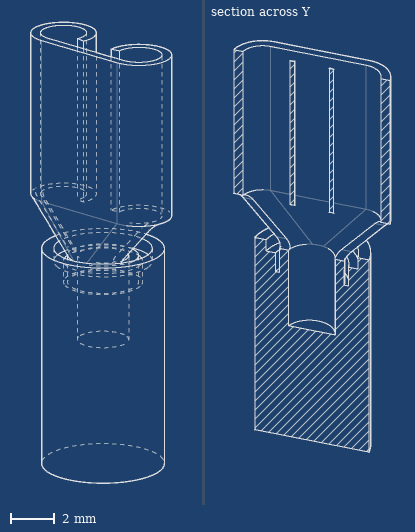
import cadquery as cq
import math

total_height = 20.2
sleeve_diameter = 5.6
sleeve_radius = sleeve_diameter / 2
sleeve_height = 10.34
sleeve_mouth_radius = 2.25
sleeve_mouth_depth = 0.6

sheet = 0.45

barrel_radius = 1.62
barrel_top = 10.0
barrel_depth = 4.04
barrel_gap = 0.18
barrel_gap_depth = 1.0

receptacle_width = 7.61
curl_radius = 1.5
curl_centre_x = receptacle_width / 2 - curl_radius
curl_centre_y = -0.12
receptacle_bottom = 12.45
curl_start_angle = math.radians(270)
curl_end_angle = math.radians(-10)

neck_edge_y = -0.63
neck_bottom = 10.03
neck_fillet = 0.3
root_fillet = 0.4
neck_floor_half_width = 0.36


def cylinder(radius, bottom, top):
    return cq.Workplane("XY").workplane(offset=bottom).circle(radius).extrude(top - bottom)


def ring(outer, inner, bottom, top):
    return cylinder(outer, bottom, top).cut(cylinder(inner, bottom, top))


def curl_point(radius, angle, side):
    return (side * (curl_centre_x - radius * math.cos(angle)), curl_centre_y + radius * math.sin(angle))


def receptacle():
    inner = curl_radius - sheet
    middle = (curl_end_angle + curl_start_angle) / 2
    profile = (
        cq.Workplane("XY").workplane(offset=receptacle_bottom)
        .moveTo(-curl_centre_x, curl_centre_y - curl_radius)
        .lineTo(curl_centre_x, curl_centre_y - curl_radius)
        .threePointArc(curl_point(curl_radius, middle, 1), curl_point(curl_radius, curl_end_angle, 1))
        .lineTo(*curl_point(inner, curl_end_angle, 1))
        .threePointArc(curl_point(inner, middle, 1), (curl_centre_x, curl_centre_y - inner))
        .lineTo(-curl_centre_x, curl_centre_y - inner)
        .threePointArc(curl_point(inner, middle, -1), curl_point(inner, curl_end_angle, -1))
        .lineTo(*curl_point(curl_radius, curl_end_angle, -1))
        .threePointArc(curl_point(curl_radius, middle, -1), (-curl_centre_x, curl_centre_y - curl_radius))
        .close()
    )
    return profile.extrude(total_height - receptacle_bottom)


def trough_wire(z, floor_edge, floor_middle, side_middle, side_end):
    """Closed trough outline, symmetric about X = 0, given by (x, y) points of its +X half.

    A floor_middle level with floor_edge makes a flat floor; a lower one makes a rounded floor.
    """

    def at(point, side):
        return cq.Vector(side * point[0], point[1], z)

    if floor_middle[1] == floor_edge[1]:
        floor = cq.Edge.makeLine(at(floor_edge, -1), at(floor_edge, 1))
    else:
        floor = cq.Edge.makeThreePointArc(at(floor_edge, -1), at(floor_middle, 1), at(floor_edge, 1))
    return cq.Wire.assembleEdges([
        floor,
        cq.Edge.makeThreePointArc(at(floor_edge, 1), at(side_middle, 1), at(side_end, 1)),
        cq.Edge.makeLine(at(side_end, 1), at(side_end, -1)),
        cq.Edge.makeThreePointArc(at(side_end, -1), at(side_middle, -1), at(floor_edge, -1)),
    ])


def neck_body(inset):
    """Loft from the flat receptacle base down to the round barrel."""
    upper_radius = curl_radius - inset
    diagonal = upper_radius * math.sqrt(0.5)
    upper_floor_y = curl_centre_y - upper_radius
    upper = trough_wire(
        receptacle_bottom,
        floor_edge=(curl_centre_x, upper_floor_y),
        floor_middle=(0, upper_floor_y),
        side_middle=(curl_centre_x + diagonal, curl_centre_y - diagonal),
        side_end=(curl_centre_x + upper_radius, curl_centre_y),
    )

    lower_radius = barrel_radius - inset
    floor_angle = math.asin(neck_floor_half_width / barrel_radius)
    side_angle = (floor_angle + math.pi / 2) / 2
    lower = trough_wire(
        neck_bottom,
        floor_edge=(lower_radius * math.sin(floor_angle), -lower_radius * math.cos(floor_angle)),
        floor_middle=(0, -lower_radius),
        side_middle=(lower_radius * math.sin(side_angle), -lower_radius * math.cos(side_angle)),
        side_end=(lower_radius, 0),
    )
    return cq.Workplane(cq.Solid.makeLoft([upper, lower], True))


def neck_side_mask():
    """Block whose -Y region bounds the neck: a straight edge with a round at each end."""
    far = -sleeve_diameter
    arc_factor = 1 - math.sqrt(0.5)
    root_step = root_fillet * arc_factor
    neck_step = neck_fillet * arc_factor
    return (
        cq.Workplane("YZ")
        .moveTo(far, barrel_top)
        .lineTo(neck_edge_y + root_fillet, barrel_top)
        .threePointArc(
            (neck_edge_y + root_step, barrel_top + root_step),
            (neck_edge_y, barrel_top + root_fillet),
        )
        .lineTo(neck_edge_y, receptacle_bottom - neck_fillet)
        .threePointArc(
            (neck_edge_y + neck_step, receptacle_bottom - neck_step),
            (neck_edge_y + neck_fillet, receptacle_bottom),
        )
        .lineTo(far, receptacle_bottom)
        .close()
        .extrude(sleeve_diameter, both=True)
    )


def neck():
    shell = neck_body(0).cut(neck_body(sheet))
    root = ring(barrel_radius, barrel_radius - sheet, barrel_top, neck_bottom)
    return shell.union(root).intersect(neck_side_mask())


def sleeve_and_barrel():
    mouth_floor = sleeve_height - sleeve_mouth_depth
    gap_floor = mouth_floor - barrel_gap_depth
    body = cylinder(sleeve_radius, 0, sleeve_height)
    body = body.cut(cylinder(sleeve_mouth_radius, mouth_floor, sleeve_height))
    body = body.cut(cylinder(barrel_radius + barrel_gap, gap_floor, mouth_floor))
    body = body.union(cylinder(barrel_radius, gap_floor, barrel_top))
    return body.cut(cylinder(barrel_radius - sheet, barrel_top - barrel_depth, barrel_top))


result = sleeve_and_barrel().union(neck()).union(receptacle())